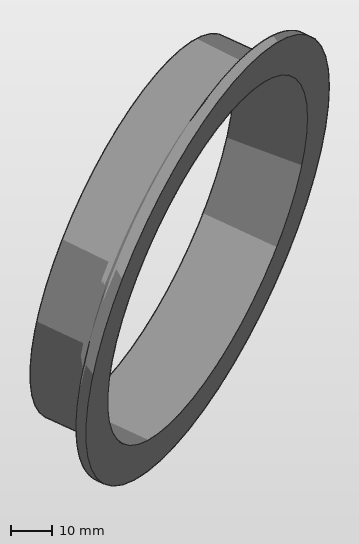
import cadquery as cq
import math

length = 20.5
bore_radius = 97.6 / 2
tube_radius = 101.6 / 2
flange_radius = 119.0 / 2
rim_start = 17.6
taper_angle = 20.0
neck_fillet = 2.0
rim_fillet = 1.0

taper_run = (flange_radius - tube_radius) * math.tan(math.radians(taper_angle))
neck_x = rim_start - taper_run

section = (
    cq.Workplane("XY")
    .moveTo(0, bore_radius)
    .lineTo(length, bore_radius)
    .lineTo(length, flange_radius)
    .lineTo(rim_start, flange_radius)
    .lineTo(neck_x, tube_radius)
    .lineTo(0, tube_radius)
    .close()
)
ferrule = section.revolve(360, (0, 0, 0), (1, 0, 0))


def circle_edge_at(x, radius):
    """Select the circular edge in the plane at x with the given radius."""
    margin = 0.01
    reach = radius + margin
    return cq.selectors.BoxSelector(
        (x - margin, -reach, -reach), (x + margin, reach, reach), boundingbox=True
    )


ferrule = ferrule.edges(circle_edge_at(neck_x, tube_radius)).fillet(neck_fillet)
result = ferrule.edges(circle_edge_at(rim_start, flange_radius)).fillet(rim_fillet)